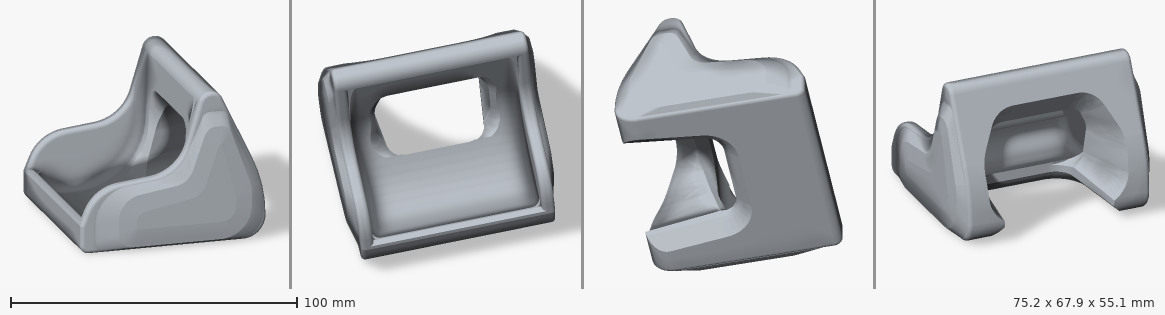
import cadquery as cq
import math

width = 75.15
depth = 67.85
height = 55.1

core_half = 34.7
rear_lean = 0.48
front_lean = 0.3
crest_front = 44.5
crest_rear = 50.7
crest_round = 4.35
elbow_z = 26.75
elbow_round = 15.0
arm_slope = 0.115
arm_start = 22.7
nose_y = 5.4
toe_round = 3.0
heel_round = 8.3
back_round = 48.1
lip_face = 10.2
lip_face_round = 0.75
edge_round = 1.5

pad_levels = (core_half, 36.9, width / 2)

lip_top = 11.5
lip_thick = 3.45
floor_z = 2.55
floor_front = 13.15
seat_front = 16.15
seat_radius = 26.3
seat_top = 51.5
channel_half = 30.2
channel_round = 3.2
rim_round = 1.7

mouth_top = (41.8, 42.1)
mouth_bottom = (33.3, 8.05)
mouth_half = 27.05
throat_top = (47.2, 35.85)
throat_bottom = (39.4, 6.4)
throat_half = 20.45
rear_top = (55.4, 45.8)
rear_bottom = (79.65, 4.5)
rear_half = 27.8

slot_front_half = 16.9
slot_rear_half = 21.8
slot_round = 6.8
slot_height = 15.0
flare_height = 5.25
flare_angle = 45.0

overrun = 0.75
diagonal = math.sqrt(0.5)


def side_plane(x):
    """Workplane at x whose local axes are Y and Z."""
    return cq.Workplane("YZ", origin=(x, 0, 0))


def rounded_outline(plane, corners):
    """Closed wire on a workplane; each corner is (u, v, radius), joined by tangent arcs."""
    outline = None
    for i, (u, v, radius) in enumerate(corners):
        corner = cq.Vector(u, v)
        before = cq.Vector(*corners[i - 1][:2])
        after = cq.Vector(*corners[(i + 1) % len(corners)][:2])
        back = (before - corner).normalized()
        ahead = (after - corner).normalized()
        half_angle = back.getAngle(ahead) / 2
        reach = radius / math.tan(half_angle)
        start = corner + back * reach
        end = corner + ahead * reach
        bisector = (back + ahead).normalized()
        middle = corner + bisector * (radius / math.sin(half_angle) - radius)
        if outline is None:
            outline = plane.moveTo(start.x, start.y)
        else:
            outline = outline.lineTo(start.x, start.y)
        outline = outline.threePointArc((middle.x, middle.y), (end.x, end.y))
    return outline.close()


def make_slab(near, far):
    """Slab between two X positions with the L-shaped side outline."""
    back_corner_z = height - (depth - crest_rear) / rear_lean
    elbow_y = crest_front - (height - elbow_z) * front_lean
    corners = [
        (0, 0, toe_round),
        (depth, 0, heel_round),
        (depth, back_corner_z, back_round),
        (crest_rear, height, crest_round),
        (crest_front, height, crest_round),
        (elbow_y, elbow_z, elbow_round),
        (nose_y, arm_start + arm_slope * nose_y, elbow_round),
        (0, lip_face, lip_face_round),
    ]
    return rounded_outline(side_plane(near), corners).extrude(far - near)


def make_core():
    """Solid body with rounded side edges."""
    return make_slab(-core_half, core_half).faces("<X or >X").edges().fillet(edge_round)


def make_pad():
    """Domed pad on the +X side, lofted through three L-shaped rings."""
    base = [
        (5.25, 0.75, 3),
        (66.5, 0.75, 8.3),
        (66.5, 18.8, 22.55),
        (53.0, 48.1, 3),
        (45.1, 48.1, 3),
        (35.7, 25.7, 15),
        (5.25, 22.2, 12.8),
    ]
    shoulder = [
        (13.15, 1.7, 5.25),
        (61.5, 1.7, 11.3),
        (62.0, 19.5, 15),
        (53.35, 43.2, 4.5),
        (45.7, 43.2, 4.5),
        (38.7, 23.45, 7.5),
        (13.15, 19.5, 9),
    ]
    crown = [
        (19.5, 8.3, 0.75),
        (55.6, 8.3, 5.25),
        (56.0, 16.5, 2.25),
        (50.6, 36.8, 0.2),
        (49.8, 36.8, 0.2),
        (43.6, 18.55, 7.5),
        (19.5, 14.05, 3.75),
    ]
    rings = zip(pad_levels, (base, shoulder, crown))
    wires = [rounded_outline(side_plane(x), corners).val() for x, corners in rings]
    return cq.Workplane(cq.Solid.makeLoft(wires, True))


def make_hollow(half):
    """Seat hollow of a given half width: scoop behind the lip, flat floor, seat curve and back."""
    scoop = floor_front - lip_thick
    scoop_middle = (floor_front - scoop * diagonal, floor_z + scoop * (1 - diagonal))
    seat_rear = seat_front + seat_radius
    seat_middle = (seat_front + seat_radius * diagonal, floor_z + seat_radius * (1 - diagonal))
    return (
        side_plane(-half)
        .moveTo(lip_thick, seat_top)
        .lineTo(lip_thick, floor_z + scoop)
        .threePointArc(scoop_middle, (floor_front, floor_z))
        .lineTo(seat_front, floor_z)
        .threePointArc(seat_middle, (seat_rear, floor_z + seat_radius))
        .lineTo(crest_front - (height - seat_top) * front_lean, seat_top)
        .close()
        .extrude(2 * half)
    )


def make_lip_opening(half):
    """Space above the lip, rounding the rear edge of the lip."""
    lip_round = lip_thick / 2
    lip_shoulder = lip_top - lip_round
    round_middle = (lip_round * (1 + diagonal), lip_shoulder + lip_round * diagonal)
    opening_rear = 2 * lip_thick
    return (
        side_plane(-half)
        .moveTo(-overrun, height)
        .lineTo(-overrun, lip_top)
        .lineTo(lip_round, lip_top)
        .threePointArc(round_middle, (lip_thick, lip_shoulder))
        .lineTo(opening_rear, lip_top)
        .lineTo(opening_rear, height)
        .close()
        .extrude(2 * half)
    )


def make_channel():
    """Space between the side walls, with rounded corners along the seat."""
    hollow = make_hollow(channel_half).faces("<X or >X").edges("not(>Z)").fillet(channel_round)
    return hollow.union(make_lip_opening(channel_half))


def make_rim_space():
    """Thin space beside the channel that leaves the inner rims of the side walls rounded."""
    rim_half = channel_half + rim_round
    wall = make_slab(channel_half, core_half).faces("<X").edges().fillet(rim_round)
    space = make_hollow(rim_half).union(make_lip_opening(rim_half))
    return space.cut(wall).cut(wall.mirror("YZ")).cut(make_slab(-channel_half, channel_half))


def section_plane(top, bottom):
    """Workplane through two (Y, Z) points: local x is X and local y runs up from bottom to top."""
    middle_y = (top[0] + bottom[0]) / 2
    middle_z = (top[1] + bottom[1]) / 2
    normal = (0, bottom[1] - top[1], top[0] - bottom[0])
    return cq.Workplane(cq.Plane((0, middle_y, middle_z), (1, 0, 0), normal))


def window_section(top, bottom, half, inset, drop, foot_radius, crown_radius):
    """Arched wire whose upper corners slope in by inset over the last drop of its height."""
    tall = math.dist(top, bottom) / 2
    right = [
        (half, -tall, foot_radius),
        (half, tall - drop, 2 * crown_radius),
        (half - inset, tall, crown_radius),
    ]
    left = [(-x, v, radius) for x, v, radius in reversed(right)]
    return rounded_outline(section_plane(top, bottom), right + left).val()


def make_window():
    """Hourglass opening: narrows from the seat to the throat, then widens to the rear."""
    mouth = window_section(
        mouth_top, mouth_bottom, mouth_half, inset=7.5, drop=9, foot_radius=13.5, crown_radius=7.5
    )
    throat = window_section(
        throat_top, throat_bottom, throat_half, inset=4.5, drop=9, foot_radius=9, crown_radius=6
    )
    rear = window_section(
        rear_top, rear_bottom, rear_half, inset=9, drop=18, foot_radius=15, crown_radius=10.5
    )
    seat_side = cq.Workplane(cq.Solid.makeLoft([mouth, throat], True))
    rear_side = cq.Workplane(cq.Solid.makeLoft([throat, rear], True))
    return seat_side.union(rear_side)


def make_slot():
    """Upright slot through the floor, open at the heel and flared at the underside."""
    slot_front = mouth_bottom[0]
    slot_rear = depth + 10 * overrun
    corners = [
        (-slot_front_half, slot_front, slot_round),
        (slot_front_half, slot_front, slot_round),
        (slot_rear_half, slot_rear, 0.75),
        (-slot_rear_half, slot_rear, 0.75),
    ]
    slot = rounded_outline(cq.Workplane("XY"), corners).extrude(slot_height)
    flare_base = cq.Workplane("XY", origin=(0, 0, flare_height))
    flare = rounded_outline(flare_base, corners).extrude(-flare_height - overrun, taper=-flare_angle)
    return slot.union(flare)


pad = make_pad()
body = make_core().cut(make_channel()).cut(make_rim_space())
body = body.union(pad).union(pad.mirror("YZ"))
result = body.cut(make_window().union(make_slot()))